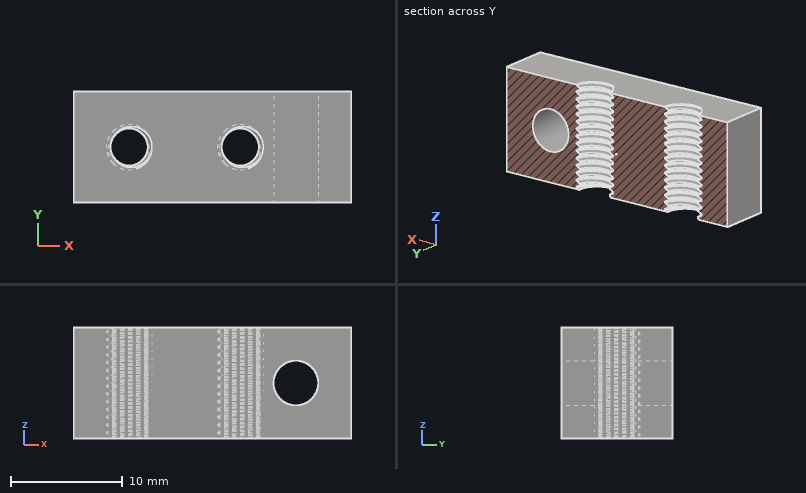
import cadquery as cq
import math

length = 25.0
width = 10.0
height = 10.0

cross_hole_diameter = 4.0
cross_hole_x = 20.0

tapped_hole_xs = (5.0, 15.0)
minor_diameter = 3.33
major_diameter = 4.11
pitch = 0.7
root_flat = pitch / 8
half_flank_angle = math.radians(30)
bore_overlap = 0.05


def make_block():
    """Block with one corner edge on the Z axis, centred across Y, standing on Z = 0."""
    return cq.Workplane("XY").box(length, width, height, centered=(False, True, False))


def make_cross_hole():
    """Plain cylinder running through the block along Y."""
    return (
        cq.Workplane("XZ")
        .center(cross_hole_x, height / 2)
        .circle(cross_hole_diameter / 2)
        .extrude(width / 2, both=True)
    )


def make_thread_groove():
    """Helical groove around the Z axis, with its root centred on the top face at +X."""
    major_radius = major_diameter / 2
    inner_radius = minor_diameter / 2 - bore_overlap
    half_root = root_flat / 2
    half_mouth = half_root + (major_radius - inner_radius) * math.tan(half_flank_angle)

    turns_below_top = math.ceil(height / pitch) + 1
    start_z = height - turns_below_top * pitch
    groove_height = (turns_below_top + 1) * pitch

    helix = cq.Wire.makeHelix(pitch, groove_height, major_radius)
    profile = cq.Workplane("XZ").polyline(
        [
            (inner_radius, -half_mouth),
            (major_radius, -half_root),
            (major_radius, half_root),
            (inner_radius, half_mouth),
        ]
    ).close()
    groove = profile.sweep(cq.Workplane(obj=helix), isFrenet=True)
    return groove.translate((0, 0, start_z))


def cut_tapped_holes(body):
    """Cut the thread groove and then the bore of every tapped hole."""
    bore = cq.Workplane("XY").circle(minor_diameter / 2).extrude(height)
    groove = make_thread_groove()
    for x in tapped_hole_xs:
        body = body.cut(groove.translate((x, 0, 0)))
        body = body.cut(bore.translate((x, 0, 0)))
    return body


result = cut_tapped_holes(make_block().cut(make_cross_hole()))